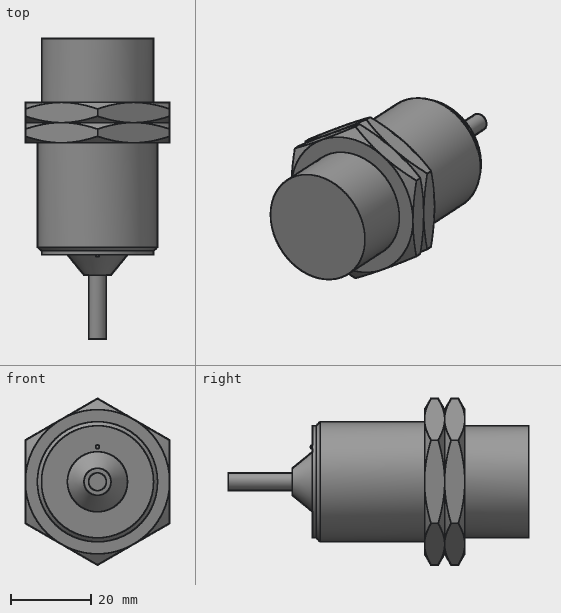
import cadquery as cq
import math

total_length = 75.0
nose_length = 16.0
nut_thickness = 5.0
nut_count = 2
housing_end = 54.0
rim_length = 1.0
chamfer_length = 1.0
cone_length = 5.0

nose_diameter = 28.0
body_diameter = 30.0
cone_base_diameter = 15.0
cone_tip_diameter = 6.75
cable_diameter = 4.4

nut_across_flats = 36.0
nut_chamfer_angle = 30.0

lamp_diameter = 1.0
lamp_offset = 8.7

back_y = total_length / 2
housing_end_y = back_y - housing_end


def make_housing():
    """Nose, body, end rim, cable cone and cable as one turned profile."""
    nose_radius = nose_diameter / 2
    body_radius = body_diameter / 2
    cable_radius = cable_diameter / 2
    nose_end_y = back_y - nose_length
    rim_y = housing_end_y + rim_length
    cone_end_y = housing_end_y - cone_length
    return (
        cq.Workplane("XY")
        .moveTo(0, back_y)
        .lineTo(nose_radius, back_y)
        .lineTo(nose_radius, nose_end_y)
        .lineTo(body_radius, nose_end_y)
        .lineTo(body_radius, rim_y + chamfer_length)
        .lineTo(nose_radius, rim_y)
        .lineTo(nose_radius, housing_end_y)
        .lineTo(cone_base_diameter / 2, housing_end_y)
        .lineTo(cone_tip_diameter / 2, cone_end_y)
        .lineTo(cable_radius, cone_end_y)
        .lineTo(cable_radius, back_y - total_length)
        .lineTo(0, back_y - total_length)
        .close()
        .revolve(360, (0, 0, 0), (0, 1, 0))
    )


def make_nut(start_y):
    """Hexagonal nut with conically chamfered corners on both faces."""
    flat_radius = nut_across_flats / 2
    corner_radius = flat_radius / math.cos(math.radians(30))
    drop = (corner_radius - flat_radius) * math.tan(math.radians(nut_chamfer_angle))
    end_y = start_y - nut_thickness
    hexagon = (
        cq.Workplane("XZ", origin=(0, start_y, 0))
        .polygon(6, 2 * corner_radius)
        .extrude(nut_thickness)
        .rotate((0, 0, 0), (0, 1, 0), 90)
    )
    chamfer_envelope = (
        cq.Workplane("XY")
        .moveTo(0, start_y)
        .lineTo(flat_radius, start_y)
        .lineTo(corner_radius, start_y - drop)
        .lineTo(corner_radius, end_y + drop)
        .lineTo(flat_radius, end_y)
        .lineTo(0, end_y)
        .close()
        .revolve(360, (0, 0, 0), (0, 1, 0))
    )
    return hexagon.intersect(chamfer_envelope)


def make_lamp():
    """Ball half sunk into the cable-side face above the cone, leaving a small dome."""
    return cq.Workplane("XY", origin=(0, housing_end_y, lamp_offset)).sphere(lamp_diameter / 2)


result = make_housing().union(make_lamp())
for index in range(nut_count):
    result = result.union(make_nut(back_y - nose_length - index * nut_thickness))